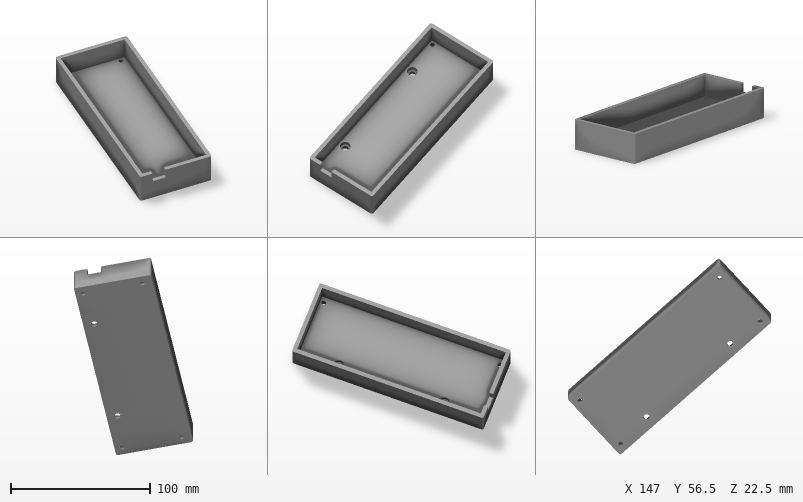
import cadquery as cq

LENGTH = 147.0
WIDTH = 56.5
HEIGHT = 22.5
CORNER_RADIUS = 1.5

WALL = 3.0
FLOOR = 6.0
INNER_LENGTH = LENGTH - 2 * WALL
INNER_WIDTH = WIDTH - 2 * WALL

CORNER_HOLE_DIAMETER = 3.4
CORNER_HOLE_WALL_GAP = 2.75
CORNER_HOLE_X = INNER_LENGTH / 2 - CORNER_HOLE_WALL_GAP
CORNER_HOLE_FRONT_Y = -INNER_WIDTH / 2 + CORNER_HOLE_WALL_GAP
CORNER_HOLE_ROW_SPACING = 43.5

SCREW_HOLE_DIAMETER = 4.4
COUNTERBORE_DIAMETER = 7.5
COUNTERBORE_DEPTH = FLOOR / 2
SCREW_X = 40.5
SCREW_WALL_GAP = 5.0
SCREW_Y = -INNER_WIDTH / 2 + SCREW_WALL_GAP

NOTCH_WIDTH = 10.0
NOTCH_DEPTH = 7.0
NOTCH_WALL_GAP = 7.0
NOTCH_EDGE_RADIUS = 0.5
NOTCH_Y = -INNER_WIDTH / 2 + NOTCH_WALL_GAP + NOTCH_WIDTH / 2
NOTCH_SILL_Z = HEIGHT - NOTCH_DEPTH

SELECTION_MARGIN = 0.1


def make_tray():
    """Open-topped box with rounded vertical outer corners."""
    block = cq.Workplane("XY").box(LENGTH, WIDTH, HEIGHT, centered=(True, True, False))
    block = block.edges("|Z").fillet(CORNER_RADIUS)
    cavity = cq.Workplane("XY").workplane(offset=FLOOR).rect(INNER_LENGTH, INNER_WIDTH)
    return block.cut(cavity.extrude(HEIGHT - FLOOR))


def floor_cylinders(centres, diameter, depth):
    """Vertical cylinders that reach down from the upper face of the floor."""
    floor_plane = cq.Workplane("XY").workplane(offset=FLOOR)
    return floor_plane.pushPoints(centres).circle(diameter / 2).extrude(-depth)


def cut_corner_holes(body):
    """Plain through holes near the four inner corners."""
    rows = (CORNER_HOLE_FRONT_Y, CORNER_HOLE_FRONT_Y + CORNER_HOLE_ROW_SPACING)
    centres = [(x, y) for x in (-CORNER_HOLE_X, CORNER_HOLE_X) for y in rows]
    return body.cut(floor_cylinders(centres, CORNER_HOLE_DIAMETER, FLOOR))


def cut_screw_holes(body):
    """Two through holes, counterbored from the upper face of the floor."""
    centres = [(-SCREW_X, SCREW_Y), (SCREW_X, SCREW_Y)]
    body = body.cut(floor_cylinders(centres, SCREW_HOLE_DIAMETER, FLOOR))
    return body.cut(floor_cylinders(centres, COUNTERBORE_DIAMETER, COUNTERBORE_DEPTH))


def cut_notch(body):
    """Notch through the +X wall with rounded sill corners and rounded edges all round."""
    wall_middle_x = (LENGTH - WALL) / 2
    cutter = cq.Workplane("XY").box(WALL, NOTCH_WIDTH, NOTCH_DEPTH, centered=(True, True, False))
    cutter = cutter.edges("|X and <Z").fillet(NOTCH_EDGE_RADIUS)
    body = body.cut(cutter.translate((wall_middle_x, NOTCH_Y, NOTCH_SILL_Z)))

    half_width = NOTCH_WIDTH / 2 + SELECTION_MARGIN
    around_notch = cq.selectors.BoxSelector(
        (LENGTH / 2 - WALL - SELECTION_MARGIN, NOTCH_Y - half_width, NOTCH_SILL_Z - SELECTION_MARGIN),
        (LENGTH / 2 + SELECTION_MARGIN, NOTCH_Y + half_width, HEIGHT + SELECTION_MARGIN),
    )
    along_x = cq.selectors.ParallelDirSelector(cq.Vector(1, 0, 0))
    at_rim = cq.selectors.BoxSelector(
        (0, -WIDTH, HEIGHT - SELECTION_MARGIN),
        (LENGTH, WIDTH, HEIGHT + SELECTION_MARGIN),
    )
    sharp_edges = body.edges(around_notch).edges(at_rim + cq.selectors.InverseSelector(along_x))
    return sharp_edges.fillet(NOTCH_EDGE_RADIUS)


tray = make_tray()
tray = cut_corner_holes(tray)
tray = cut_screw_holes(tray)
result = cut_notch(tray)